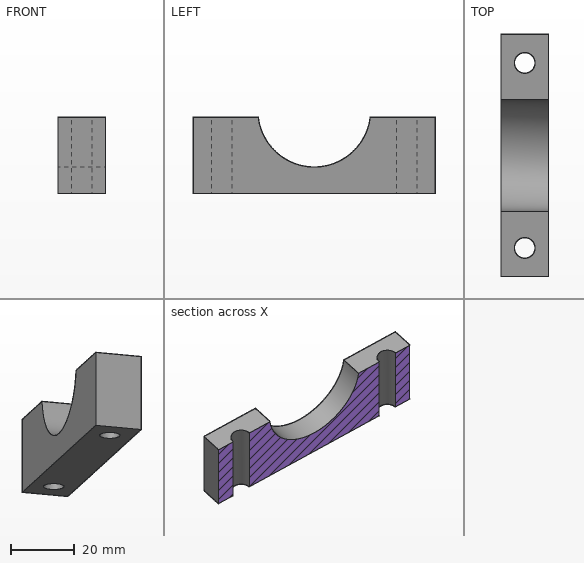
import cadquery as cq

width = 15.0
length = 76.2
height = 24.0

saddle_radius = 17.7
saddle_depth = 15.6
saddle_axis_z = height - saddle_depth + saddle_radius

bolt_hole_diameter = 6.4
bolt_spacing = 58.1


def make_block():
    return cq.Workplane("XY").box(width, length, height, centered=(True, True, False))


def make_saddle():
    return (
        cq.Workplane("YZ")
        .center(0, saddle_axis_z)
        .circle(saddle_radius)
        .extrude(width, both=True)
    )


def make_bolt_holes():
    return (
        cq.Workplane("XY")
        .pushPoints([(0, -bolt_spacing / 2), (0, bolt_spacing / 2)])
        .circle(bolt_hole_diameter / 2)
        .extrude(height)
    )


result = make_block().cut(make_saddle()).cut(make_bolt_holes())